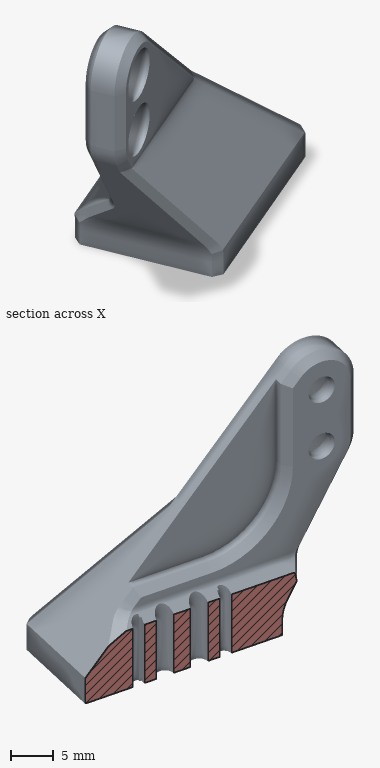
import cadquery as cq
import math

base_width = 18.75
total_length = 38.2
base_height = 3.65
base_front = 11.2
base_middle = base_width / 2

web_left = 6.0
web_right = 11.08
lug_radius = 5.0
upper_hole_z = 31.7
lower_hole_z = 23.72
total_height = upper_hole_z + lug_radius

left_slope_top = 9.75
right_slope_top = 19.6

bevel = 1.05
web_fillet = 1.0
front_fillet = 5.2

screw_diameter = 3.6
head_diameter = 6.5
head_seat = 2.02

recess_depth = 2.1
recess_front = 9.97
recess_bottom = 12.22
recess_radius = 10.0

pin_diameter = 2.35
pin_x = 4.62
pin_row_center = 24.95
round_pin_spacing = 4.65
key_pin_spacing = 11.42
key_diameter = 2.02
key_flat_offset = 0.3
key_nib_width = 1.3
key_nib_depth = 0.23

overhang = 7.65


def point_on_circle(center, radius, angle):
    return (center[0] + radius * math.cos(angle), center[1] + radius * math.sin(angle))


def tangent_point(outside, center, radius, side):
    """Point where a line from `outside` touches a circle; side is +1 or -1."""
    dy = outside[0] - center[0]
    dz = outside[1] - center[1]
    angle = math.atan2(dz, dy) + side * math.acos(radius / math.hypot(dy, dz))
    return point_on_circle(center, radius, angle)


def side_prism(back_points):
    """YZ outline with the given back, from floor to lug, extruded along X past both ends of the base."""
    lower_center = (lug_radius, lower_hole_z)
    front_corner = (base_front, base_height)
    front_tangent = tangent_point(front_corner, lower_center, lug_radius, -1)
    front_angle = math.atan2(front_tangent[1] - lower_hole_z, front_tangent[0] - lug_radius)
    lower_arc_middle = point_on_circle(lower_center, lug_radius, (front_angle - math.pi) / 2)

    return (
        cq.Workplane("YZ", origin=(-overhang, 0, 0))
        .polyline([(base_front, 0)] + back_points)
        .threePointArc(
            point_on_circle((lug_radius, upper_hole_z), lug_radius, 0.75 * math.pi), (0, upper_hole_z)
        )
        .lineTo(0, lower_hole_z)
        .threePointArc(lower_arc_middle, front_tangent)
        .lineTo(*front_corner)
        .close()
        .extrude(base_width + 2 * overhang)
        .edges(nearest(base_middle, *front_corner))
        .fillet(front_fillet)
    )


def upright_back_prism():
    """Side prism whose back is a plain wall up to the height of the lug."""
    return side_prism([(total_length, 0), (total_length, total_height), (lug_radius, total_height)])


def sloping_back_prism():
    """Side prism whose back slope touches the lug and runs on down to the floor."""
    back_corner = (total_length, base_height)
    tangent = tangent_point(back_corner, (lug_radius, upper_hole_z), lug_radius, 1)
    run_per_rise = (total_length - tangent[0]) / (tangent[1] - base_height)
    return side_prism([(total_length + base_height * run_per_rise, 0), tangent])


def nearest(x, y, z):
    return cq.selectors.NearestToPointSelector((x, y, z))


def trimmed(prism, outline):
    """Part of a side prism inside an XZ outline."""
    keep = cq.Workplane("XZ").polyline(outline).close().extrude(-2 * total_length)
    return prism.intersect(keep)


def base_block():
    """Everything between the two ends of the base, with the upright end edges beveled front and back."""
    block = trimmed(
        upright_back_prism(),
        [(0, 0), (base_width, 0), (base_width, total_height), (0, total_height)],
    )
    return block.faces("<X or >X").edges("not |Y").chamfer(bevel)


def right_web():
    """Everything left of the right face of the web, with that face beveled."""
    slab = trimmed(
        sloping_back_prism(),
        [(-overhang, 0), (web_right, 0), (web_right, total_height), (-overhang, total_height)]
    )
    return slab.faces(">X").edges("not |Y").chamfer(bevel)


def right_flank():
    """Everything below the steep right slope, with that slope beveled."""
    run_per_rise = (base_width - web_right) / (right_slope_top - base_height)
    foot_x = base_width + base_height * run_per_rise
    top_x = foot_x - total_height * run_per_rise
    flank = trimmed(
        sloping_back_prism(),
        [(-overhang, 0), (foot_x, 0), (top_x, total_height), (-overhang, total_height)]
    )
    return flank.faces(">X").edges("not |Y").chamfer(bevel)


def left_side():
    """Everything behind the left slope and the left face of the web, with the recess and bevels."""
    left_foot_x = -base_height * web_left / (left_slope_top - base_height)
    right_end = base_width + overhang
    side = trimmed(
        sloping_back_prism(),
        [
            (left_foot_x, 0),
            (right_end, 0),
            (right_end, total_height),
            (web_left, total_height),
            (web_left, left_slope_top),
        ]
    )
    side = side.edges(nearest(web_left, total_length / 2, left_slope_top)).fillet(web_fillet)
    side = side.cut(web_recess())
    left_of_recess = cq.selectors.BoxSelector(
        (-overhang, -0.4, 0), (web_left + bevel, 2 * total_length, total_height)
    )
    rim = side.edges("not(|X or |Y)").edges(left_of_recess)
    recess_lip = side.edges(nearest(web_left, 0.6 * total_length, recess_bottom))
    return rim.add(recess_lip).chamfer(bevel)


def web_recess():
    """Recess open to the back edge of the web, with one large rounded corner."""
    return (
        cq.Workplane("YZ", origin=(web_left, recess_front, recess_bottom))
        .rect(total_length, total_length, centered=False)
        .extrude(recess_depth)
        .edges("|X and <Y and <Z")
        .fillet(recess_radius)
    )


def screw_hole(z):
    shank = cq.Workplane("YZ", origin=(0, lug_radius, z)).circle(screw_diameter / 2).extrude(base_width)
    head = (
        cq.Workplane("YZ", origin=(web_left + head_seat, lug_radius, z))
        .circle(head_diameter / 2)
        .extrude(base_width)
    )
    return shank.union(head)


def round_pin_hole(side):
    y = pin_row_center + side * round_pin_spacing / 2
    return cq.Workplane("XY", origin=(pin_x, y, 0)).circle(pin_diameter / 2).extrude(left_slope_top)


def key_pin_hole(side):
    """Round hole cut off flat on the side facing the row center, with a shallow nib in the flat."""
    radius = key_diameter / 2
    half_nib = key_nib_width / 2
    half_flat = math.sqrt(radius**2 - key_flat_offset**2)
    flat_y = -side * key_flat_offset
    nib_y = -side * (key_flat_offset + key_nib_depth)
    y = pin_row_center + side * key_pin_spacing / 2
    return (
        cq.Workplane("XY", origin=(pin_x, y, 0))
        .moveTo(-half_flat, flat_y)
        .threePointArc((0, side * radius), (half_flat, flat_y))
        .lineTo(half_nib, flat_y)
        .lineTo(half_nib, nib_y)
        .lineTo(-half_nib, nib_y)
        .lineTo(-half_nib, flat_y)
        .close()
        .extrude(left_slope_top)
    )


right_side = right_web().union(right_flank())
body = base_block().intersect(left_side()).intersect(right_side)

for hole_z in (upper_hole_z, lower_hole_z):
    body = body.cut(screw_hole(hole_z))
for row_side in (-1, 1):
    body = body.cut(round_pin_hole(row_side))
    body = body.cut(key_pin_hole(row_side))

result = body